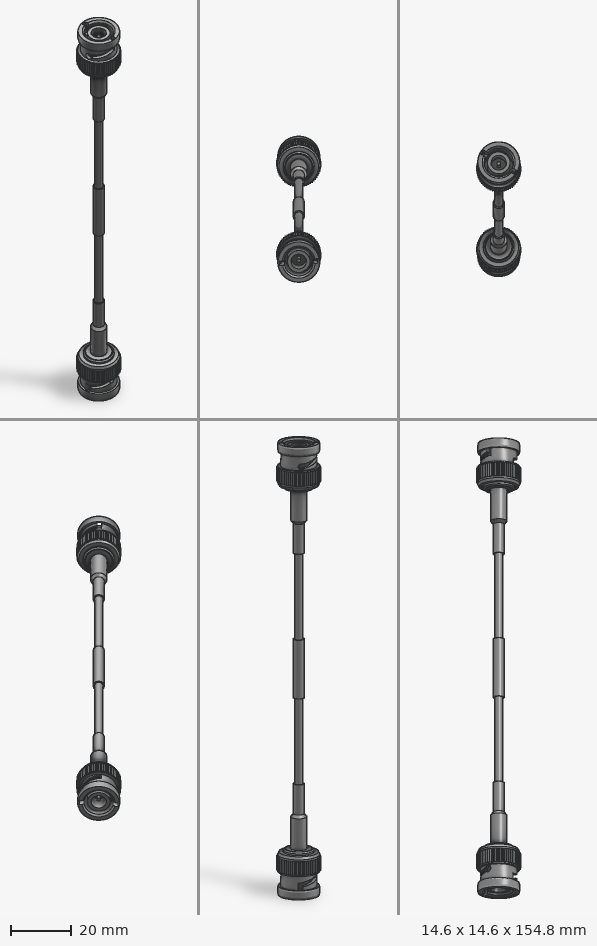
import cadquery as cq
import math

LENGTH = 154.8
HALF_LENGTH = LENGTH / 2

CABLE_RADIUS = 1.4
BAND_RADIUS = 1.9
BAND_LENGTH = 20.1

RIM_RADIUS = 7.0
RIM_DEPTH = 3.1
RIM_CHAMFER_LENGTH = 0.6
RIM_CHAMFER_WIDTH = 0.2
BARREL_RADIUS = 6.0
MOUTH_RADIUS = 5.4
MOUTH_DEPTH = 0.6
BORE_RADIUS = 4.8
GRIP_START = 8.0
KNURL_START = 8.5
GRIP_RADIUS = 7.3
GRIP_END = 13.2
COLLAR_RADIUS = 7.0
COLLAR_END = 13.8
SHOULDER_RADIUS = 6.5
SHOULDER_DEPTH = 14.7
TAIL_RADIUS = 5.1
TAIL_END_RADIUS = 4.6
TAIL_CHAMFER_START = 15.3
NUT_END = 15.8

KNURL_COUNT = 60
KNURL_GROOVE_DEPTH = 0.3

SLOT_WIDTH = 1.5
SLOT_OUTER_RADIUS = 6.3
SLOT_INNER_RADIUS = 4.3
ENTRY_ANGLE = 32.0
ENTRY_DEPTH = 4.8
DETENT_ANGLE = -53.0
DETENT_DEPTH = 6.8
DETENT_RADIUS = 1.1
SLOT_COUNT = 2

TUBE_RADIUS = 3.7
TUBE_BORE_RADIUS = 2.5
TUBE_START = 1.0
TUBE_FLOOR = 6.2
PIN_RADIUS = 0.6
PIN_START = 2.3
FLANGE_START = 9.0
FLANGE_END = 13.6
NECK_RADIUS = 4.3
CRIMP_DIAMETER = 5.4
CRIMP_RADIUS = CRIMP_DIAMETER / 2
CRIMP_TAPER_START = 26.6
CRIMP_END = 27.7

SLEEVE_RADIUS = BAND_RADIUS
SLEEVE_END = 38.0

TURN_ANGLE = 78.0


def height(depth):
    """Z of a point of the upper plug at the given depth below the open end."""
    return HALF_LENGTH - depth


def turned(points):
    """Solid of revolution about Z from (radius, depth) points of the upper plug."""
    outline = [(radius, height(depth)) for radius, depth in points]
    return cq.Workplane("XZ").polyline(outline).close().revolve(360, (0, 0), (0, 1))


def ring(outer_radius, inner_radius, start, end):
    """Plain ring of the upper plug between two depths."""
    return turned([(inner_radius, start), (outer_radius, start), (outer_radius, end), (inner_radius, end)])


def knurl_grooves(start, end):
    """Ring of V grooves around the grip between two depths."""
    half_pitch = math.pi / KNURL_COUNT
    outline = []
    for i in range(2 * KNURL_COUNT):
        radius = GRIP_RADIUS - KNURL_GROOVE_DEPTH * (i % 2)
        outline.append((radius * math.cos(i * half_pitch), radius * math.sin(i * half_pitch)))
    toothed = cq.Workplane("XY", origin=(0, 0, height(end))).polyline(outline).close().extrude(end - start)
    return ring(GRIP_RADIUS + KNURL_GROOVE_DEPTH, BORE_RADIUS, start, end).cut(toothed)


def bayonet_slot():
    """Cutter for one slot: it enters from the open end and ramps down to the detent."""
    slot_middle = (SLOT_INNER_RADIUS + SLOT_OUTER_RADIUS) / 2
    slot_thickness = SLOT_OUTER_RADIUS - SLOT_INNER_RADIUS
    entry_length = ENTRY_DEPTH + SLOT_WIDTH / 2
    entry = (
        cq.Workplane("XY")
        .box(slot_thickness, SLOT_WIDTH, entry_length)
        .translate((slot_middle, 0, height(entry_length / 2)))
        .rotate((0, 0, 0), (0, 0, 1), ENTRY_ANGLE)
    )
    rise = DETENT_DEPTH - ENTRY_DEPTH
    pitch = rise * 360 / (ENTRY_ANGLE - DETENT_ANGLE)
    path = cq.Workplane(cq.Wire.makeHelix(pitch, rise, slot_middle))
    ramp = (
        cq.Workplane("XZ", origin=(slot_middle, 0, 0))
        .rect(slot_thickness, SLOT_WIDTH)
        .sweep(path, isFrenet=True)
        .translate((0, 0, height(DETENT_DEPTH)))
        .rotate((0, 0, 0), (0, 0, 1), DETENT_ANGLE)
    )
    detent = (
        cq.Workplane("YZ", origin=(SLOT_INNER_RADIUS, 0, height(DETENT_DEPTH)))
        .circle(DETENT_RADIUS)
        .extrude(slot_thickness)
        .rotate((0, 0, 0), (0, 0, 1), DETENT_ANGLE)
    )
    return entry.union(ramp).union(detent)


def make_coupling_nut():
    nut = turned([
        (MOUTH_RADIUS, 0),
        (RIM_RADIUS - RIM_CHAMFER_WIDTH, 0),
        (RIM_RADIUS, RIM_CHAMFER_LENGTH),
        (RIM_RADIUS, RIM_DEPTH - RIM_CHAMFER_LENGTH),
        (RIM_RADIUS - RIM_CHAMFER_WIDTH, RIM_DEPTH),
        (BARREL_RADIUS, RIM_DEPTH),
        (BARREL_RADIUS, GRIP_START),
        (COLLAR_RADIUS, GRIP_START),
        (COLLAR_RADIUS, KNURL_START),
        (GRIP_RADIUS, KNURL_START),
        (GRIP_RADIUS, GRIP_END),
        (COLLAR_RADIUS, GRIP_END),
        (COLLAR_RADIUS, COLLAR_END),
        (SHOULDER_RADIUS, SHOULDER_DEPTH),
        (TAIL_RADIUS, SHOULDER_DEPTH),
        (TAIL_RADIUS, TAIL_CHAMFER_START),
        (TAIL_END_RADIUS, NUT_END),
        (NECK_RADIUS, NUT_END),
        (NECK_RADIUS, FLANGE_END),
        (BORE_RADIUS, FLANGE_END),
        (BORE_RADIUS, MOUTH_DEPTH),
    ])
    nut = nut.cut(knurl_grooves(KNURL_START, GRIP_END))
    for i in range(SLOT_COUNT):
        nut = nut.cut(bayonet_slot().rotate((0, 0, 0), (0, 0, 1), i * 360 / SLOT_COUNT))
    return nut.val()


def make_plug_body():
    body = turned([
        (0, PIN_START),
        (PIN_RADIUS, PIN_START),
        (PIN_RADIUS, TUBE_FLOOR),
        (TUBE_BORE_RADIUS, TUBE_FLOOR),
        (TUBE_BORE_RADIUS, TUBE_START),
        (TUBE_RADIUS, TUBE_START),
        (TUBE_RADIUS, FLANGE_START),
        (BORE_RADIUS, FLANGE_START),
        (BORE_RADIUS, FLANGE_END),
        (NECK_RADIUS, FLANGE_END),
        (NECK_RADIUS, NUT_END),
        (CRIMP_RADIUS, NUT_END),
        (CRIMP_RADIUS, CRIMP_TAPER_START),
        (SLEEVE_RADIUS, CRIMP_END),
        (0, CRIMP_END),
    ])
    return body.val()


def make_sleeve():
    return ring(SLEEVE_RADIUS, CABLE_RADIUS, CRIMP_END, SLEEVE_END).val()


def make_cable():
    cable_length = LENGTH - 2 * CRIMP_END
    cable = cq.Workplane("XY", origin=(0, 0, -cable_length / 2)).circle(CABLE_RADIUS).extrude(cable_length)
    band = cq.Workplane("XY", origin=(0, 0, -BAND_LENGTH / 2)).circle(BAND_RADIUS).extrude(BAND_LENGTH)
    return cable.union(band).val()


turn_axis_end = cq.Vector(math.cos(math.radians(TURN_ANGLE)), math.sin(math.radians(TURN_ANGLE)), 0)
plug_bodies = []
for turn in (0, 180):
    for make in (make_coupling_nut, make_plug_body, make_sleeve):
        plug_bodies.append(make().rotate(cq.Vector(0, 0, 0), turn_axis_end, turn))

result = cq.Compound.makeCompound([make_cable(), *plug_bodies])